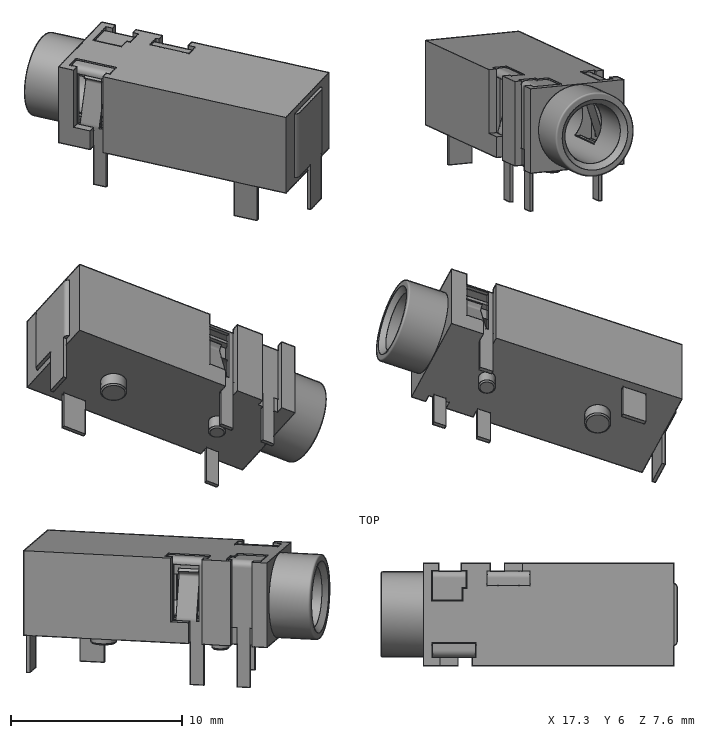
import cadquery as cq
import math


sleeve_length = 2.47
housing_end = 17.1
housing_width = 6.0
housing_height = 5.05
half_width = housing_width / 2
axis_z = housing_height / 2

sleeve_radius = 2.49
sleeve_edge_radius = 0.1
bore_radius = 1.78
mouth_radius = 2.11
bore_round_end = 9.0
bore_end = 15.02
bore_flat_half_width = 1.5

pegs = [(5.99, 0.5), (13.01, 0.76)]
peg_height = 0.85
peg_chamfer = 0.09

sheet = 0.2
leg_bottom = -2.55
cap_top = 4.98
contact_outer_y = 2.53
bend_radius = 0.4
plate_bottom = 1.0

spring_turn_x = 5.85
spring_start, spring_end = 6.2, 8.68
spring_cap_inner_y = 1.7
spring_leg_start, spring_leg_end = 6.38, 7.2
frame_start, frame_end = 6.68, 8.22
frame_bottom = 1.25
frame_top = cap_top - bend_radius
tongue_gap = 0.15
tongue_lean = 18.0
tongue_curl = 49.0
foot_radius = 0.5
tongue_apex_z = 3.84
apex_radius = 0.17
tip_length = 0.35
tongue_room_inner_y = 1.3
side_window_end = 8.25
left_spring_gap = 0.02
right_spring_gap = 0.05

switch_start, switch_end = 3.0, 4.97
switch_cap_inner_y = 0.85
switch_gap = 0.05
switch_step_x, switch_step_y = 4.72, 1.55
switch_leg_start, switch_leg_end = 3.62, 4.38
switch_notch_start, switch_notch_end = 3.37, 4.67

tip_start, tip_end = 13.55, 15.0

rear_outer_x = 17.3
rear_flat_half_width = 1.54
rear_edge_radius = 0.3
rear_bottom, rear_top = 0.45, 4.69
rear_leg_start_y, rear_leg_end_y = 0.0, 1.49


def box(x0, x1, y0, y1, z0, z1):
    """Box between two opposite corners."""
    return cq.Workplane("XY").box(x1 - x0, y1 - y0, z1 - z0, centered=False).translate((x0, y0, z0))


def half_turn(body):
    """Turn a +Y side shape to its place on the -Y side."""
    return body.rotate((spring_turn_x, 0, 0), (spring_turn_x, 0, 1), 180)


def strip(x0, x1, z0, z1):
    """Upright strip of sheet lying in the plane of the +Y side contacts."""
    return box(x0, x1, contact_outer_y - sheet, contact_outer_y, z0, z1)


def bent_sheet(x0, x1, cap_inner_y):
    """Flat cap that bends down into an upright plate."""
    bend_y = contact_outer_y - bend_radius
    bend_z = cap_top - bend_radius
    inner_radius = bend_radius - sheet
    return (
        cq.Workplane("YZ", origin=(x0, 0, 0))
        .moveTo(cap_inner_y, cap_top)
        .lineTo(bend_y, cap_top)
        .radiusArc((contact_outer_y, bend_z), bend_radius)
        .lineTo(contact_outer_y, plate_bottom)
        .lineTo(contact_outer_y - sheet, plate_bottom)
        .lineTo(contact_outer_y - sheet, bend_z)
        .radiusArc((bend_y, cap_top - sheet), -inner_radius)
        .lineTo(cap_inner_y, cap_top - sheet)
        .close()
        .extrude(x1 - x0)
    )


def tongue():
    """Tongue bending inwards from the foot of the frame, with its tip curled back out."""
    lean = math.radians(tongue_lean)
    curl = math.radians(tongue_curl)
    start = frame_start + tongue_gap
    length = frame_end - frame_start - 2 * tongue_gap

    foot_centre_y = contact_outer_y - foot_radius
    foot_y = foot_centre_y + foot_radius * math.cos(lean)
    foot_z = frame_bottom + foot_radius * math.sin(lean)
    apex_y = foot_y - (tongue_apex_z - foot_z) * math.tan(lean)
    tip_y = apex_y + tip_length * math.sin(curl)
    tip_z = tongue_apex_z + tip_length * math.cos(curl)

    inner_foot_radius = foot_radius - sheet
    inner_foot_y = foot_centre_y + inner_foot_radius * math.cos(lean)
    inner_foot_z = frame_bottom + inner_foot_radius * math.sin(lean)
    mitre = sheet / (1 + math.cos(lean + curl))
    inner_apex_y = apex_y - mitre * (math.cos(lean) + math.cos(curl))
    inner_apex_z = tongue_apex_z + mitre * (math.sin(curl) - math.sin(lean))

    blank = (
        cq.Workplane("YZ", origin=(start, 0, 0))
        .moveTo(contact_outer_y, frame_bottom)
        .radiusArc((foot_y, foot_z), -foot_radius)
        .lineTo(apex_y, tongue_apex_z)
        .lineTo(tip_y, tip_z)
        .lineTo(tip_y - sheet * math.cos(curl), tip_z + sheet * math.sin(curl))
        .lineTo(inner_apex_y, inner_apex_z)
        .lineTo(inner_foot_y, inner_foot_z)
        .radiusArc((contact_outer_y - sheet, frame_bottom), inner_foot_radius)
        .close()
        .extrude(length)
    )
    middle_x = start + length / 2
    outer_apex = cq.selectors.NearestToPointSelector((middle_x, apex_y, tongue_apex_z))
    inner_apex = cq.selectors.NearestToPointSelector((middle_x, inner_apex_y, inner_apex_z))
    rounded = blank.edges(outer_apex).fillet(apex_radius)
    return rounded.edges(inner_apex).fillet(apex_radius + sheet)


def spring_contact():
    """Bent sheet with a framed tongue and one leg."""
    frame = strip(frame_start, frame_end, frame_bottom, frame_top)
    leg = strip(spring_leg_start, spring_leg_end, leg_bottom, plate_bottom)
    return bent_sheet(spring_start, spring_end, spring_cap_inner_y).cut(frame).union(tongue()).union(leg)


def spring_pocket(gap):
    """Room for one spring contact: pocket, tongue room open to the bore, leg slot and side window."""
    start, end = spring_start - gap, spring_end + gap
    pocket = box(
        start, end, spring_cap_inner_y - gap, contact_outer_y, plate_bottom, housing_height)
    tongue_room = box(
        start, end, tongue_room_inner_y, contact_outer_y, frame_bottom, frame_top)
    leg_slot = strip(spring_leg_start, spring_leg_end, 0, plate_bottom)
    leg_notch = box(spring_leg_start, spring_leg_end, contact_outer_y, half_width, 0, housing_height)
    window = box(
        spring_leg_start, side_window_end, contact_outer_y, half_width, frame_bottom, housing_height)
    return pocket.union(tongue_room).union(leg_slot).union(leg_notch).union(window)


def switch_contact():
    """Bent sheet whose wide cap has a stepped corner, with one leg."""
    step = box(
        switch_step_x, switch_end, switch_cap_inner_y, switch_step_y, cap_top - sheet, cap_top)
    leg = strip(switch_leg_start, switch_leg_end, leg_bottom, plate_bottom)
    return bent_sheet(switch_start, switch_end, switch_cap_inner_y).cut(step).union(leg)


def switch_pocket():
    """Room for the switch contact: stepped cap recess, plate slot, leg slot and side notch."""
    start, end = switch_start - switch_gap, switch_end + switch_gap
    outer_y = contact_outer_y + switch_gap
    cap_floor = cap_top - sheet
    recess = box(
        start, switch_step_x + switch_gap, switch_cap_inner_y - switch_gap, outer_y,
        cap_floor, housing_height)
    wide_recess = box(
        start, end, switch_step_y - switch_gap, outer_y, cap_floor, housing_height)
    plate_slot = box(
        start, end, contact_outer_y - bend_radius, outer_y, plate_bottom, cap_floor)
    leg_slot = strip(switch_leg_start, switch_leg_end, 0, plate_bottom)
    notch = box(
        switch_notch_start, switch_notch_end, contact_outer_y, half_width, 0, housing_height)
    return recess.union(wide_recess).union(plate_slot).union(leg_slot).union(notch)


def tip_terminal():
    """Straight strip near the rear of the -Y side."""
    return box(
        tip_start, tip_end, -contact_outer_y, sheet - contact_outer_y, leg_bottom, plate_bottom)


def rear_terminal():
    """Plate with rounded upright edges on the back face, and a leg below it."""
    arc_centre_x = rear_outer_x - rear_edge_radius
    edge_rise = math.sqrt(rear_edge_radius ** 2 - (housing_end - arc_centre_x) ** 2)
    edge_y = rear_flat_half_width + edge_rise
    plate = (
        cq.Workplane("XY", origin=(0, 0, rear_bottom))
        .moveTo(housing_end, -edge_y)
        .radiusArc((rear_outer_x, -rear_flat_half_width), -rear_edge_radius)
        .lineTo(rear_outer_x, rear_flat_half_width)
        .radiusArc((housing_end, edge_y), -rear_edge_radius)
        .close()
        .extrude(rear_top - rear_bottom)
    )
    leg = box(
        housing_end, rear_outer_x, rear_leg_start_y, rear_leg_end_y, leg_bottom, rear_bottom)
    return plate.union(leg)


def bore():
    """Round bore with a chamfered mouth and a flat-sided stretch at its inner end."""
    mouth_depth = mouth_radius - bore_radius
    bore_plane = cq.Workplane("YZ", origin=(0, 0, axis_z))
    front = bore_plane.circle(bore_radius).extrude(bore_round_end)
    mouth = cq.Workplane(cq.Solid.makeCone(
        mouth_radius, bore_radius, mouth_depth, cq.Vector(0, 0, axis_z), cq.Vector(1, 0, 0)))
    flats = box(
        0, bore_end, -bore_flat_half_width, bore_flat_half_width, 0, housing_height)
    rear = bore_plane.circle(bore_radius).extrude(bore_end).intersect(flats)
    return front.union(mouth).union(rear)


def housing_body():
    """Housing block with its sleeve, pegs, bore and contact pockets."""
    body = box(sleeve_length, housing_end, -half_width, half_width, 0, housing_height)
    sleeve = (
        cq.Workplane("YZ", origin=(0, 0, axis_z))
        .circle(sleeve_radius)
        .extrude(sleeve_length)
        .faces("<X")
        .edges()
        .fillet(sleeve_edge_radius)
    )
    body = body.union(sleeve)
    for peg_x, peg_radius in pegs:
        peg = (
            cq.Workplane("XY")
            .center(peg_x, 0)
            .circle(peg_radius)
            .extrude(-peg_height)
            .faces("<Z")
            .chamfer(peg_chamfer)
        )
        body = body.union(peg)
    body = body.cut(bore())
    body = body.cut(spring_pocket(left_spring_gap)).cut(half_turn(spring_pocket(right_spring_gap)))
    return body.cut(switch_pocket()).cut(tip_terminal())


housing = housing_body()
left_spring = spring_contact()
springs = [left_spring, half_turn(left_spring)]
switch = switch_contact()
tip = tip_terminal()
rear = rear_terminal()

result = cq.Compound.makeCompound(
    [housing.val(), *[spring.val() for spring in springs], switch.val(), tip.val(), rear.val()])